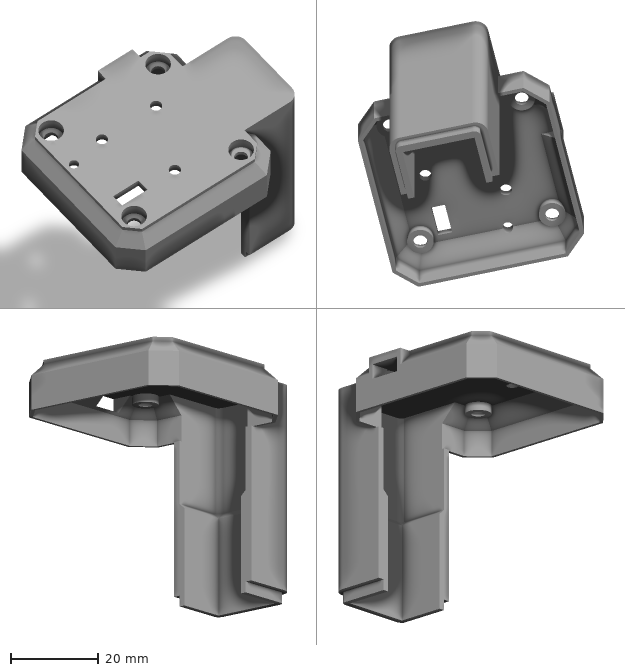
import cadquery as cq
import math


housing_side = 45.0
housing_height = 12.2
corner_cut = 4.95
upright_height = 8.2
bevel_size = 2.95
wall = 0.9
plate_thickness = 1.9
room_upright_height = 6.15

part_length = 58.1
part_height = 51.4
leg_width = 23.2
leg_depth = 14.6
leg_corner_radius = 2.95
lip_height = 2.55

channel_width = 16.95
channel_back_wall = 2.5
wide_channel_width = 19.85
wide_channel_growth = 1.6
shoulder_height = 1.45
shoulder_drop = 14.75

screw_offset = 15.5
screw_diameter = 3.2
counterbore_diameter = 5.85
counterbore_depth = 2.9
post_diameter = 6.1
post_floor = 1.0

peg_hole_diameter = 2.8
peg_hole_centres = [(-6.4, 7.85), (-6.4, -7.85), (10.75, 0.0)]
pin_hole_diameter = 2.3
pin_hole_centre = (-4.65, -17.3)
slot_size = (3.3, 7.3)
slot_centre = (9.75, -12.15)

connector_y = 8.5
connector_block_width = 10.05
window_width = 7.9
window_height = 3.5
window_sill_z = 6.8

half_side = housing_side / 2
bevel_top_z = upright_height + bevel_size
ceiling_z = housing_height - plate_thickness
ceiling_inset = wall + ceiling_z - room_upright_height
leg_back_y = part_length - half_side
leg_front_y = leg_back_y - leg_depth
leg_bottom_z = housing_height - part_height
lip_top_z = leg_bottom_z + lip_height
channel_back_y = leg_back_y - channel_back_wall
shoulder_top_z = -shoulder_drop
shoulder_bottom_z = shoulder_top_z - shoulder_height
post_bottom_z = housing_height - counterbore_depth - post_floor
screw_centres = [(sx * screw_offset, sy * screw_offset) for sx in (-1, 1) for sy in (-1, 1)]


def box(x_range, y_range, z_range):
    """Axis-aligned box between two limits on each axis."""
    ranges = (x_range, y_range, z_range)
    lows = tuple(low for low, high in ranges)
    sizes = [high - low for low, high in ranges]
    return cq.Workplane("XY").box(*sizes, centered=False).translate(lows)


def span(centre, width):
    """Limits of a stretch of the given width about its centre."""
    return (centre - width / 2, centre + width / 2)



def octagon(inset, z):
    """Housing outline moved inward by inset, at height z."""
    half = half_side - inset
    cut = corner_cut - inset * (2 - math.sqrt(2))
    near = half - cut
    points = [
        (half, near), (near, half), (-near, half), (-half, near),
        (-half, -near), (-near, -half), (near, -half), (half, -near),
    ]
    return cq.Workplane("XY", origin=(0, 0, z)).polyline(points).close()


def bevelled_block(bottom_inset, straight_height, top_inset, top_z):
    """Upright octagonal block whose upper part slopes in to a smaller octagon."""
    lower = octagon(bottom_inset, straight_height).val()
    upper = octagon(top_inset, top_z).val()
    slope = cq.Workplane(obj=cq.Solid.makeLoft([lower, upper], True))
    return octagon(bottom_inset, 0).extrude(straight_height).union(slope)


def housing_outside():
    rim = octagon(bevel_size, bevel_top_z).extrude(housing_height - bevel_top_z)
    return bevelled_block(0, upright_height, bevel_size, bevel_top_z).union(rim)


def connector_block():
    x_range = (-half_side, -half_side + bevel_size)
    z_range = (upright_height, housing_height)
    return box(x_range, span(connector_y, connector_block_width), z_range)


def connector_window():
    x_range = (-half_side, -half_side + ceiling_inset)
    z_range = (window_sill_z, window_sill_z + window_height)
    return box(x_range, span(connector_y, window_width), z_range)



def channel_outline(front_y, z):
    """Rectangle of the narrow channel, from front_y to its back wall."""
    centre_y = (channel_back_y + front_y) / 2
    plane = cq.Workplane("XY", origin=(0, centre_y, z))
    return plane.rect(channel_width, channel_back_y - front_y)


def wide_block(front_y, bottom_z, top_z):
    """Wide channel section: rounded back corners, trimmed flat at the sides and front."""
    outline = channel_outline(front_y, bottom_z).offset2D(wide_channel_growth, "arc")
    block = outline.extrude(top_z - bottom_z)
    trim = box(span(0, wide_channel_width), (front_y, leg_back_y), (bottom_z, top_z))
    return block.intersect(trim)


def leg_outside():
    below_housing = box(span(0, leg_width), (leg_front_y, leg_back_y), (lip_top_z, 0))
    in_housing = box(span(0, leg_width), (0, leg_back_y), (0, housing_height))
    leg = below_housing.union(in_housing).edges("|Z and >Y").fillet(leg_corner_radius)
    return leg.union(wide_block(leg_front_y, leg_bottom_z, lip_top_z))


def leg_channel():
    front_y = half_side - ceiling_inset
    narrow = channel_outline(front_y, leg_bottom_z).extrude(shoulder_bottom_z - leg_bottom_z)
    slope_angle = math.degrees(math.atan2(wide_channel_growth, shoulder_height))
    shoulder = channel_outline(front_y, shoulder_bottom_z).extrude(shoulder_height, taper=-slope_angle)
    shoulder = shoulder.intersect(wide_block(front_y, shoulder_bottom_z, shoulder_top_z))
    wide = wide_block(front_y, shoulder_top_z, ceiling_z)
    return narrow.union(shoulder).union(wide)



def screw_posts():
    plane = cq.Workplane("XY", origin=(0, 0, post_bottom_z))
    return plane.pushPoints(screw_centres).circle(post_diameter / 2).extrude(ceiling_z - post_bottom_z)


def top_holes(centres, diameter, depth):
    plane = cq.Workplane("XY", origin=(0, 0, housing_height))
    return plane.pushPoints(centres).circle(diameter / 2).extrude(-depth)


def top_slot():
    x_range, y_range = (span(c, size) for c, size in zip(slot_centre, slot_size))
    return box(x_range, y_range, (ceiling_z, housing_height))



solid_body = housing_outside().union(connector_block()).union(leg_outside())
room = bevelled_block(wall, room_upright_height, ceiling_inset, ceiling_z)
shell = solid_body.cut(room).cut(leg_channel()).union(screw_posts())

result = (
    shell
    .cut(connector_window())
    .cut(top_holes(screw_centres, counterbore_diameter, counterbore_depth))
    .cut(top_holes(screw_centres, screw_diameter, housing_height))
    .cut(top_holes(peg_hole_centres, peg_hole_diameter, plate_thickness))
    .cut(top_holes([pin_hole_centre], pin_hole_diameter, housing_height))
    .cut(top_slot())
)